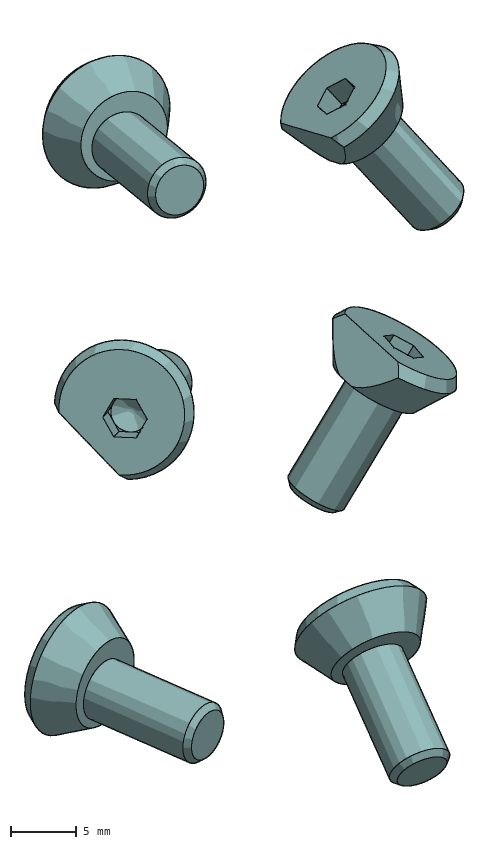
import cadquery as cq
import math

total_length = 14.0
head_length = 4.0
rim_position = 0.95
rim_diameter = 10.9
head_taper = math.radians(30)

flat_distance = 3.63
flat_angle = -45.0

shank_y = -0.25
shank_z = -0.45
shank_diameter = 5.0
tip_chamfer_length = 0.49
tip_chamfer_depth = 0.45

socket_across_flats = 3.0
socket_depth = 2.0
socket_cone_angle = math.radians(118)


def revolve_about_x(profile):
    """Revolve a closed (x, radius) profile around the X axis."""
    solid = cq.Workplane("XY").polyline(profile).close()
    return solid.revolve(360, (0, 0, 0), (1, 0, 0))


def make_head():
    rim_radius = rim_diameter / 2
    front_radius = rim_radius - rim_position * math.tan(head_taper)
    back_radius = rim_radius - (head_length - rim_position) * math.tan(head_taper)
    head = revolve_about_x([
        (0, 0),
        (0, front_radius),
        (rim_position, rim_radius),
        (head_length, back_radius),
        (head_length, 0),
    ])
    beyond_flat = (
        cq.Workplane("XY")
        .box(head_length, rim_diameter, rim_diameter, centered=(False, False, True))
        .translate((0, flat_distance, 0))
        .rotate((0, 0, 0), (1, 0, 0), flat_angle)
    )
    return head.cut(beyond_flat)


def make_shank():
    radius = shank_diameter / 2
    shank = revolve_about_x([
        (head_length, 0),
        (head_length, radius),
        (total_length - tip_chamfer_length, radius),
        (total_length, radius - tip_chamfer_depth),
        (total_length, 0),
    ])
    return shank.translate((0, shank_y, shank_z))


def make_socket():
    """Hexagonal socket with a conical drill point at its bottom."""
    across_corners = socket_across_flats / math.cos(math.radians(30))
    hexagon = cq.Workplane("YZ").polygon(6, across_corners).extrude(socket_depth)
    drill_radius = socket_across_flats / 2
    cone_height = drill_radius / math.tan(socket_cone_angle / 2)
    drill_point = revolve_about_x([
        (socket_depth, 0),
        (socket_depth, drill_radius),
        (socket_depth + cone_height, 0),
    ])
    return hexagon.union(drill_point).translate((0, shank_y, shank_z))


result = make_head().union(make_shank()).cut(make_socket())